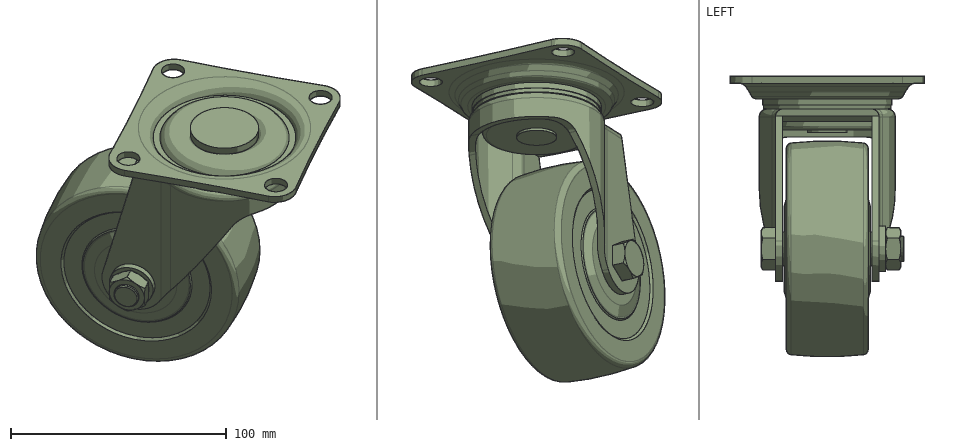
import cadquery as cq
import math

axle_x = -37.0
plate_top = 80.0

clearance = 1.3

plate_side = 90.0
plate_thickness = 3.3
plate_corner_radius = 10.2
plate_side_bow = 0.5
bolt_hole_pitch = 71.4
bolt_hole_diameter = 10.5
dish_rim_radius = 40.0
dish_floor_radius = 33.0
dish_floor_depth = 5.5
dish_lip_radius = 7.1
dish_depth = 10.5
dish_root_radius = 42.2
dish_root_middle = (39.3, -3.7)
dish_root_end = (37.9, -4.8)
dish_wall_bend = (36.2, -7.3)
dish_wall_end = (35.1, -9.4)
dish_base_middle = (33.9, -10.3)
dish_base_radius = 32.0

neck_radius = 30.0
neck_groove_radius = 29.6
neck_groove_depth = 13.3
race_crest_radius = 23.0
race_crest_depth = 0.5
race_valley_depth = 3.7
king_pin_radius = 15.8
lower_race_flare_radius = 27.0
lower_race_radius = 25.1
lower_race_flare = 2.6
lower_race_band = 2.1
lower_race_round = 1.7
rivet_radius = 9.2
rivet_height = 1.2

fork_top = plate_top - 15.2
sheet_thickness = 3.3
skirt_radius = 31.5
skirt_bottom = plate_top - 28.2
leg_face = 24.0
leg_front = -36.8
top_front = -38.4
leg_blend_x = -23.4
leg_tip_radius = 15.0
leg_rear_angle = 56.0
skirt_corner_radius = 11.5
fork_edge_radius = 3.7

wheel_radius = 50.0
tread_edge_radius = 49.1
tread_edge_half_width = 16.8
wheel_half_width = 19.0
face_outer_radius = 46.5
tyre_edge_radius = 2.8
face_inner_radius = 36.4
web_outer_radius = 35.4
web_half_width = 17.8
hub_step_outer_radius = 26.7
hub_step_middle_radius = 26.0
hub_cone_radius = 25.3
hub_step_half_width = 18.3
hub_face_radius = 19.9
hub_half_width = 19.9
spacer_radius = 7.9

axle_radius = 6.0
hex_across_flats = 17.0
hex_chamfer_height = 0.8
head_height = 6.6
washer_radius = 10.5
washer_thickness = 3.0
nut_height = 7.0
axle_end_length = 1.6
axle_end_chamfer = 0.5


def revolved_about_z(profile):
    return profile.close().revolve(360, (0, 0, 0), (0, 1, 0))


def bowed_square():
    """Rounded square whose four sides curve slightly inward."""
    half = plate_side / 2
    straight = half - plate_corner_radius
    diagonal = straight + plate_corner_radius * math.sqrt(0.5)
    middle = half - plate_side_bow
    outline = cq.Workplane("XY").moveTo(half, -straight)
    for quarter in range(4):
        c = round(math.cos(quarter * math.pi / 2))
        s = round(math.sin(quarter * math.pi / 2))

        def turned(x, y):
            return (c * x - s * y, s * x + c * y)

        outline = outline.threePointArc(turned(middle, 0), turned(half, straight))
        outline = outline.threePointArc(turned(diagonal, diagonal), turned(straight, half))
    return outline.close()


def make_plate():
    flat = bowed_square().extrude(-plate_thickness)
    dish = revolved_about_z(
        cq.Workplane("XZ")
        .moveTo(0, 0)
        .lineTo(dish_root_radius, 0)
        .lineTo(dish_root_radius, -plate_thickness)
        .threePointArc(dish_root_middle, dish_root_end)
        .lineTo(*dish_wall_bend)
        .lineTo(*dish_wall_end)
        .threePointArc(dish_base_middle, (dish_base_radius, -dish_depth))
        .lineTo(0, -dish_depth)
    )
    hollow = revolved_about_z(
        cq.Workplane("XZ")
        .moveTo(0, -dish_floor_depth)
        .lineTo(dish_floor_radius, -dish_floor_depth)
        .radiusArc((dish_rim_radius, 0), dish_lip_radius)
        .lineTo(0, 0)
    )
    neck_hole = cq.Workplane("XY").circle(neck_radius).extrude(-dish_depth)
    bolt_holes = (
        cq.Workplane("XY")
        .rect(bolt_hole_pitch, bolt_hole_pitch, forConstruction=True)
        .vertices()
        .circle(bolt_hole_diameter / 2)
        .extrude(-plate_thickness)
    )
    plate = flat.union(dish).cut(hollow).cut(neck_hole).cut(bolt_holes)
    return plate.translate((0, 0, plate_top))


def make_swivel_head():
    sheet_bottom = fork_top - sheet_thickness
    flare_bottom = sheet_bottom - lower_race_flare
    band_bottom = flare_bottom - lower_race_band
    race_bottom = band_bottom - lower_race_round
    rivet_bottom = race_bottom - rivet_height
    race_crest = (race_crest_radius, plate_top - race_crest_depth)
    race_outer_edge = (neck_radius, plate_top - dish_floor_depth)
    return revolved_about_z(
        cq.Workplane("XZ")
        .moveTo(0, plate_top)
        .lineTo(king_pin_radius, plate_top)
        .lineTo(king_pin_radius, plate_top - race_valley_depth)
        .threePointArc(race_crest, race_outer_edge)
        .lineTo(neck_radius, plate_top - neck_groove_depth)
        .lineTo(neck_groove_radius, plate_top - neck_groove_depth)
        .lineTo(neck_groove_radius, fork_top)
        .lineTo(king_pin_radius, fork_top)
        .lineTo(king_pin_radius, sheet_bottom)
        .lineTo(lower_race_flare_radius, sheet_bottom)
        .lineTo(lower_race_radius, flare_bottom)
        .lineTo(lower_race_radius, band_bottom)
        .tangentArcPoint((lower_race_radius - lower_race_round, race_bottom), relative=False)
        .lineTo(rivet_radius, race_bottom)
        .lineTo(rivet_radius, rivet_bottom)
        .lineTo(0, rivet_bottom)
    )


def axle_disc(start, length, radius):
    """Cylinder on the axle line that runs from Y = start toward -Y."""
    return cq.Workplane("XZ", origin=(axle_x, start, 0)).circle(radius).extrude(length)


def axle_bore():
    return axle_disc(skirt_radius, 2 * skirt_radius, axle_radius)


def fork_plan(inset, front):
    """Plan outline of the fork: two flat legs blended into a round skirt, offset inward by inset."""
    leg = leg_face - inset
    skirt = skirt_radius - inset
    blend = (leg_blend_x**2 + leg**2 - skirt**2) / (2 * (skirt - leg))
    centre_y = leg + blend
    centre_distance = skirt + blend
    end_x = leg_blend_x * skirt / centre_distance
    end_y = centre_y * skirt / centre_distance
    half_turn = math.acos(centre_y / centre_distance) / 2
    middle_x = leg_blend_x + blend * math.sin(half_turn)
    middle_y = centre_y - blend * math.cos(half_turn)
    return (
        cq.Workplane("XY")
        .moveTo(front, leg)
        .lineTo(leg_blend_x, leg)
        .threePointArc((middle_x, middle_y), (end_x, end_y))
        .threePointArc((skirt, 0), (end_x, -end_y))
        .threePointArc((middle_x, -middle_y), (leg_blend_x, -leg))
        .lineTo(front, -leg)
        .close()
    )


def fork_side():
    """Side outline of the fork, extruded across its whole width."""
    sheet_bottom = fork_top - sheet_thickness
    rear = skirt_radius + clearance
    rise_x = leg_front - axle_x
    distance = math.hypot(rise_x, sheet_bottom)
    front_angle = math.atan2(sheet_bottom, rise_x) + math.acos(leg_tip_radius / distance)
    slope = math.radians(leg_rear_angle)
    rear_angle = slope - math.pi / 2

    def tip(angle):
        return (axle_x + leg_tip_radius * math.cos(angle), leg_tip_radius * math.sin(angle))

    rear_x, rear_z = tip(rear_angle)
    corner_x = rear_x + (skirt_bottom - rear_z) / math.tan(slope)
    reach = skirt_corner_radius * math.tan(slope / 2)
    arc_start = (corner_x - reach * math.cos(slope), skirt_bottom - reach * math.sin(slope))
    return (
        cq.Workplane("XZ")
        .moveTo(top_front, fork_top)
        .lineTo(top_front, sheet_bottom)
        .lineTo(leg_front, sheet_bottom)
        .lineTo(*tip(front_angle))
        .threePointArc(tip(-math.pi / 2), (rear_x, rear_z))
        .lineTo(*arc_start)
        .tangentArcPoint((corner_x + reach, skirt_bottom), relative=False)
        .lineTo(rear, skirt_bottom)
        .lineTo(rear, fork_top)
        .close()
        .extrude(skirt_radius, both=True)
    )


def sheet_front_trim():
    """Space in front of the top sheet, whose front edge bulges forward between the legs."""
    clear = top_front - clearance
    return (
        cq.Workplane("XY")
        .workplane(offset=fork_top)
        .moveTo(leg_front, leg_face)
        .threePointArc((top_front, 0), (leg_front, -leg_face))
        .lineTo(clear, -leg_face)
        .lineTo(clear, leg_face)
        .close()
        .extrude(-sheet_thickness)
    )


def make_fork():
    base = -leg_tip_radius
    height = fork_top - base
    open_front = axle_x - 2 * leg_tip_radius
    block = fork_plan(0, open_front).extrude(height).translate((0, 0, base))
    block = block.faces(">Z").edges("not <X").fillet(fork_edge_radius)
    hollow = (
        fork_plan(sheet_thickness, open_front)
        .extrude(height - sheet_thickness)
        .translate((0, 0, base))
    )
    king_pin_hole = (
        cq.Workplane("XY").workplane(offset=fork_top).circle(king_pin_radius).extrude(-sheet_thickness)
    )
    fork = block.cut(hollow).intersect(fork_side()).cut(sheet_front_trim())
    return fork.cut(king_pin_hole).cut(axle_bore())


def make_wheel():
    spacer_half_width = leg_face - sheet_thickness
    side = [
        (axle_radius, spacer_half_width),
        (spacer_radius, spacer_half_width),
        (spacer_radius, hub_half_width),
        (hub_face_radius, hub_half_width),
        (hub_cone_radius, hub_step_half_width),
        (hub_step_middle_radius, hub_step_half_width),
        (hub_step_outer_radius, web_half_width),
        (web_outer_radius, web_half_width),
        (face_inner_radius, wheel_half_width),
        (face_outer_radius, wheel_half_width),
    ]
    opposite_side = [(radius, -half_width) for radius, half_width in reversed(side)]
    return (
        cq.Workplane("XY")
        .polyline(side)
        .radiusArc((tread_edge_radius, tread_edge_half_width), tyre_edge_radius)
        .threePointArc((wheel_radius, 0), (tread_edge_radius, -tread_edge_half_width))
        .radiusArc(opposite_side[0], tyre_edge_radius)
        .polyline(opposite_side, includeCurrent=False)
        .close()
        .revolve(360, (0, 0, 0), (0, 1, 0))
        .translate((axle_x, 0, 0))
    )


def axle_hexagon(start, length, chamfered_faces):
    """Hexagon on the axle line with upright flats toward X and its corners turned off."""
    corner_radius = hex_across_flats / math.sqrt(3)
    hexagon = (
        cq.Workplane("XZ", origin=(axle_x, start, 0))
        .transformed(rotate=(0, 0, 90))
        .polygon(6, 2 * corner_radius)
        .extrude(length)
    )
    turned = (
        axle_disc(start, length, corner_radius)
        .faces(chamfered_faces)
        .chamfer(hex_chamfer_height, corner_radius - hex_across_flats / 2)
    )
    return hexagon.intersect(turned)


def make_axle():
    washer_end = -leg_face - washer_thickness
    nut_end = washer_end - nut_height
    shaft_length = leg_face - nut_end + axle_end_length
    shaft = axle_disc(leg_face, shaft_length, axle_radius).faces("<Y").chamfer(axle_end_chamfer)
    head = axle_hexagon(leg_face + head_height, head_height, ">Y")
    washer = axle_disc(-leg_face, washer_thickness, washer_radius)
    nut = axle_hexagon(washer_end, nut_height, "|Y")
    return shaft.union(head).union(washer).union(nut)


plate = make_plate()
swivel_head = make_swivel_head()
fork = make_fork()
wheel = make_wheel()
axle = make_axle()

result = cq.Compound.makeCompound(
    [body.solids().val() for body in (plate, swivel_head, fork, wheel, axle)]
)